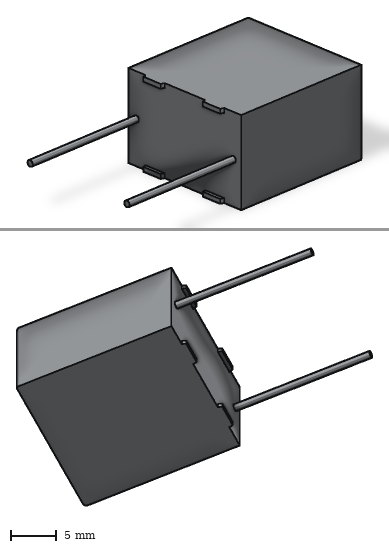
import cadquery as cq

TOTAL_LENGTH = 35.5
CASE_WIDTH = 17.5
CASE_LENGTH = 19.0
CASE_HEIGHT = 11.5
BACK_FILLET = 0.5

FOOT_SPACING = 9.23
FOOT_BASE_WIDTH = 2.98
FOOT_TIP_WIDTH = 2.65
FOOT_STANDOFF = 0.45
FOOT_THICKNESS = 0.6

LEAD_SPACING = 15.0
LEAD_DIAMETER = 0.8

LEAD_LENGTH = TOTAL_LENGTH - CASE_LENGTH
LEAD_FACE_Y = LEAD_LENGTH


def make_case_block():
    """Rectangular block with rounded edges around its back face."""
    block = cq.Workplane("XY").box(CASE_WIDTH, CASE_LENGTH, CASE_HEIGHT, centered=(True, False, True))
    return block.faces(">Y").edges().fillet(BACK_FILLET).translate((0, LEAD_FACE_Y, 0))


def make_foot(center_x, bottom_z):
    """Standoff foot that narrows in X towards its tip."""
    tip_y = LEAD_FACE_Y - FOOT_STANDOFF
    outline = [
        (center_x - FOOT_BASE_WIDTH / 2, LEAD_FACE_Y),
        (center_x - FOOT_TIP_WIDTH / 2, tip_y),
        (center_x + FOOT_TIP_WIDTH / 2, tip_y),
        (center_x + FOOT_BASE_WIDTH / 2, LEAD_FACE_Y),
    ]
    return cq.Workplane("XY", origin=(0, 0, bottom_z)).polyline(outline).close().extrude(FOOT_THICKNESS)


def make_case():
    """Case block joined with its four standoff feet."""
    case = make_case_block()
    lower_foot_z = -CASE_HEIGHT / 2
    upper_foot_z = CASE_HEIGHT / 2 - FOOT_THICKNESS
    for center_x in (-FOOT_SPACING / 2, FOOT_SPACING / 2):
        for bottom_z in (lower_foot_z, upper_foot_z):
            case = case.union(make_foot(center_x, bottom_z))
    return case


def make_lead(center_x):
    """Round wire from its tip to the lead face of the case."""
    tip_plane = cq.Workplane("XZ", origin=(center_x, 0, 0))
    return tip_plane.circle(LEAD_DIAMETER / 2).extrude(-LEAD_LENGTH)


case = make_case()
leads = [make_lead(center_x) for center_x in (-LEAD_SPACING / 2, LEAD_SPACING / 2)]

result = cq.Compound.makeCompound([case.val(), *[lead.val() for lead in leads]])